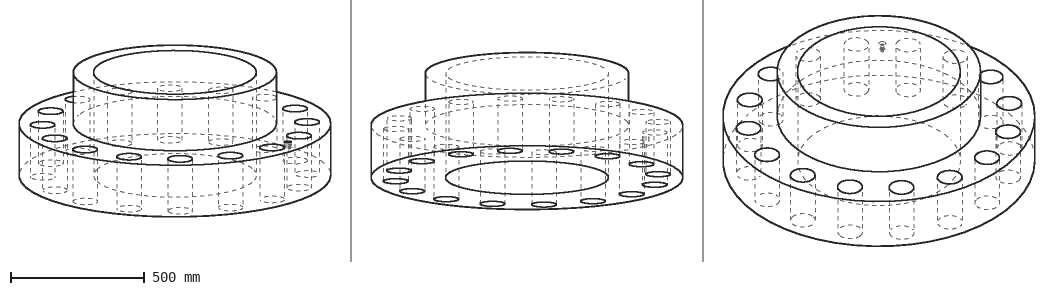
import cadquery as cq
import math

flange_diameter = 1168
flange_thickness = 201.0
overall_height = 400.0

hub_diameter = 762.0
bore_diameter = 610.0

bolt_count = 16
bolt_circle_diameter = 991.0
bolt_hole_diameter = 92.0
bolt_pitch_angle = 360 / bolt_count

pilot_diameters = (26.0, 19.0, 8.0)
pilot_step_depth = 12
pilot_angle = bolt_pitch_angle / 2


def cylinder(diameter, base_height, top_height):
    """Upright cylinder on the part axis between two heights."""
    height = top_height - base_height
    return cq.Workplane("XY").workplane(offset=base_height).circle(diameter / 2).extrude(height)


def make_body():
    """Flange with its hub, bored through along the axis."""
    flange = cylinder(flange_diameter, 0, flange_thickness)
    hub = cylinder(hub_diameter, 0, overall_height)
    bore = cylinder(bore_diameter, 0, overall_height)
    return flange.union(hub).cut(bore)


def make_bolt_holes():
    """Ring of bolt holes through the flange, the first on the +X axis."""
    bolt_circle = cq.Workplane("XY").polarArray(bolt_circle_diameter / 2, 0, 360, bolt_count)
    return bolt_circle.circle(bolt_hole_diameter / 2).extrude(flange_thickness)


def make_pilot_hole():
    """Blind hole on the bolt circle that narrows step by step below the flange face."""
    hole = cq.Workplane("XY")
    floor_height = flange_thickness
    for diameter in pilot_diameters:
        floor_height -= pilot_step_depth
        hole = hole.union(cylinder(diameter, floor_height, flange_thickness))
    angle = math.radians(pilot_angle)
    radius = bolt_circle_diameter / 2
    return hole.translate((radius * math.cos(angle), radius * math.sin(angle), 0))


result = make_body().cut(make_bolt_holes()).cut(make_pilot_hole())